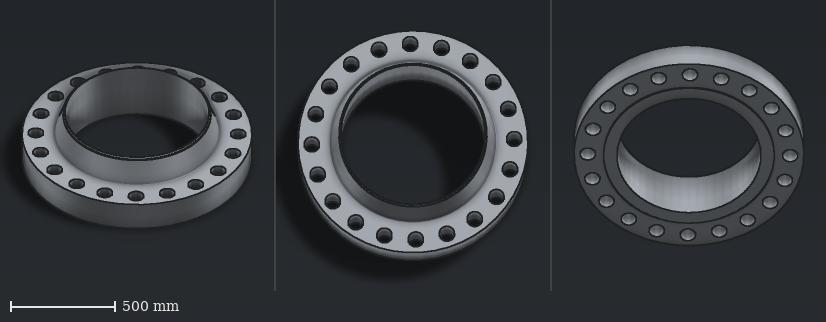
import cadquery as cq

full_turn = 360

flange_diameter = 1105.0
flange_thickness = 148.0
bore_diameter = 691.0

raised_face_diameter = 820.0
raised_face_height = 7.0

total_height = 283.0
hub_base_diameter = 798.0
neck_diameter = 711.0
neck_length = 7.0
end_chamfer_height = 7.0
end_chamfer_width = 8.0
hub_fillet_radius = 7.0

bolt_count = 20
bolt_circle_diameter = 972.0
bolt_hole_diameter = 73.0

flange_top = raised_face_height + flange_thickness
neck_top = total_height - end_chamfer_height
neck_bottom = neck_top - neck_length


def revolved_body():
    """Revolve the flange, raised face and hub around the Z axis."""
    bore_radius = bore_diameter / 2
    flange_radius = flange_diameter / 2
    neck_radius = neck_diameter / 2
    profile = (
        cq.Workplane("XZ")
        .moveTo(bore_radius, 0)
        .lineTo(raised_face_diameter / 2, 0)
        .lineTo(raised_face_diameter / 2, raised_face_height)
        .lineTo(flange_radius, raised_face_height)
        .lineTo(flange_radius, flange_top)
        .lineTo(hub_base_diameter / 2, flange_top)
        .lineTo(neck_radius, neck_bottom)
        .lineTo(neck_radius, neck_top)
        .lineTo(neck_radius - end_chamfer_width, total_height)
        .lineTo(bore_radius, total_height)
        .close()
    )
    return profile.revolve(full_turn, (0, 0, 0), (0, 1, 0))


def round_hub_base(body):
    """Blend the foot of the hub into the top of the flange."""
    hub_radius = hub_base_diameter / 2
    margin = hub_fillet_radius / 4
    foot = cq.selectors.BoxSelector(
        (-hub_radius - margin, -hub_radius - margin, flange_top - margin),
        (hub_radius + margin, hub_radius + margin, flange_top + margin),
        boundingbox=True,
    )
    return body.edges(foot).fillet(hub_fillet_radius)


def bolt_holes():
    """Through holes evenly spaced on the bolt circle."""
    return (
        cq.Workplane("XY")
        .polarArray(bolt_circle_diameter / 2, 0, full_turn, bolt_count)
        .circle(bolt_hole_diameter / 2)
        .extrude(flange_top)
    )


result = round_hub_base(revolved_body()).cut(bolt_holes())